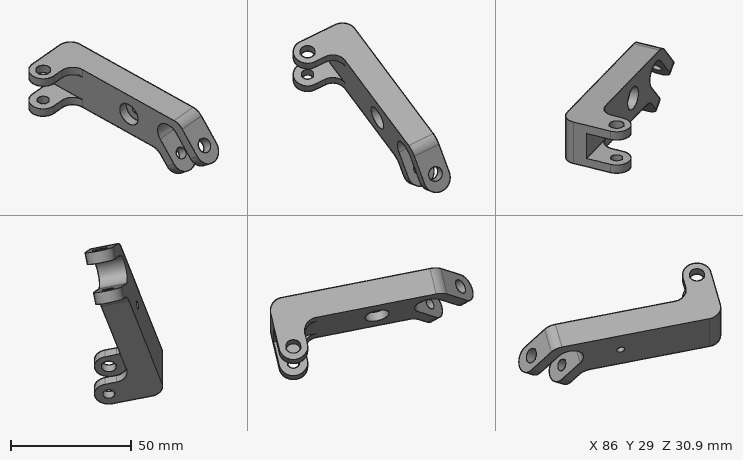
import cadquery as cq
import math

bar_height = 20.0
bar_thickness = 12.0
end_radius = bar_thickness / 2
mid_height = bar_height / 2
front_face_y = -bar_thickness

lug_thickness = 4.0
lug_width = bar_thickness
part_depth = 29.0
lug_gap = bar_height - 2 * lug_thickness
lug_root_radius = 6.0
lug_hole_x = lug_width / 2
lug_hole_y = end_radius - part_depth

fork_angle = 50.0
slot_radius = 6.0
slot_center_x = 66.0
arm_thickness = 5.0
arm_reach = 18.03
fork_bend_radius = 6.0
arm_hole_reach = 10.0
fork_half_width = slot_radius + arm_thickness

wide_pin_diameter = 6.2
narrow_pin_diameter = 5.0

screw_x = 44.0
screw_diameter = 3.4
screw_head_diameter = 10.2
screw_head_depth = 4.0

along_x = math.cos(math.radians(fork_angle))
along_z = -math.sin(math.radians(fork_angle))
across_x = -along_z
across_z = along_x


def fork_point(along, across):
    """XZ position measured from the slot centre, along and across the fork."""
    x = slot_center_x + along * along_x + across * across_x
    z = mid_height + along * along_z + across * across_z
    return (x, z)


def outer_corner(across, level):
    """XZ point where an arm's outer side meets the bar's top or bottom level."""
    along = (level - mid_height - across * across_z) / along_z
    return fork_point(along, across)


def fork_plane(along, across):
    """Plane with its X axis along the fork and its normal pointing to the upper arm."""
    x, z = fork_point(along, across)
    return cq.Plane(
        origin=(x, -bar_thickness / 2, z),
        xDir=(along_x, 0, along_z),
        normal=(across_x, 0, across_z),
    )


def make_bar():
    """Bar and fork in one outline, before the slot is opened."""
    upper_corner = outer_corner(fork_half_width, bar_height)
    lower_corner = outer_corner(-fork_half_width, 0)
    outline = [
        (0, 0),
        lower_corner,
        fork_point(arm_reach, -fork_half_width),
        fork_point(arm_reach, fork_half_width),
        upper_corner,
        (0, bar_height),
    ]
    bar = cq.Workplane("XZ").polyline(outline).close().extrude(bar_thickness)
    for x, z in (upper_corner, lower_corner):
        bend_edge = cq.selectors.NearestToPointSelector((x, -bar_thickness / 2, z))
        bar = bar.edges("|Y").edges(bend_edge).fillet(fork_bend_radius)
    return bar.edges("|Z and <X and >Y").fillet(end_radius)


def make_slot_cutter():
    """Round-ended slot running out through the end of the fork."""
    slot = cq.Workplane("XZ").center(slot_center_x, mid_height).circle(slot_radius).extrude(bar_thickness)
    channel = (
        cq.Workplane(fork_plane(arm_reach / 2, 0))
        .box(arm_reach, bar_thickness, 2 * slot_radius)
    )
    return slot.union(channel)


def make_arm_tip_cutter():
    """Material outside the rounded arm tips."""
    tip_center = arm_reach - end_radius
    width = 2 * fork_half_width
    square_end = (
        cq.Workplane(fork_plane(tip_center + end_radius / 2, 0))
        .box(end_radius, bar_thickness, width)
    )
    round_end = (
        cq.Workplane(fork_plane(tip_center, 0))
        .circle(end_radius)
        .extrude(fork_half_width, both=True)
    )
    return square_end.cut(round_end)


def make_arm_hole_cutter(diameter, side):
    """Pin hole through one arm; side is +1 for the upper arm, -1 for the lower."""
    hole_plane = fork_plane(arm_hole_reach, 0)
    return cq.Workplane(hole_plane).circle(diameter / 2).extrude(side * fork_half_width)


def make_lug(bottom, hole_diameter):
    """One clevis lug with a round end, a filleted root and a pin hole."""
    lug = (
        cq.Workplane("XY", origin=(0, 0, bottom))
        .moveTo(0, front_face_y)
        .lineTo(0, lug_hole_y)
        .threePointArc((lug_hole_x, -part_depth), (lug_width, lug_hole_y))
        .lineTo(lug_width, front_face_y - lug_root_radius)
        .radiusArc((lug_width + lug_root_radius, front_face_y), lug_root_radius)
        .close()
        .extrude(lug_thickness)
    )
    hole = (
        cq.Workplane("XY", origin=(lug_hole_x, lug_hole_y, bottom))
        .circle(hole_diameter / 2)
        .extrude(lug_thickness)
    )
    return lug.cut(hole)


def make_screw_hole_cutter():
    """Through hole with a flat-bottomed counterbore in the front face."""
    shank = cq.Workplane("XZ").center(screw_x, mid_height).circle(screw_diameter / 2).extrude(bar_thickness)
    head = (
        cq.Workplane("XZ", origin=(screw_x, front_face_y + screw_head_depth, mid_height))
        .circle(screw_head_diameter / 2)
        .extrude(screw_head_depth)
    )
    return shank.union(head)


result = make_bar()
result = result.cut(make_slot_cutter())
result = result.cut(make_arm_tip_cutter())
result = result.cut(make_arm_hole_cutter(wide_pin_diameter, 1))
result = result.cut(make_arm_hole_cutter(narrow_pin_diameter, -1))
result = result.cut(make_screw_hole_cutter())
result = result.union(make_lug(0, narrow_pin_diameter))
result = result.union(make_lug(lug_thickness + lug_gap, wide_pin_diameter))